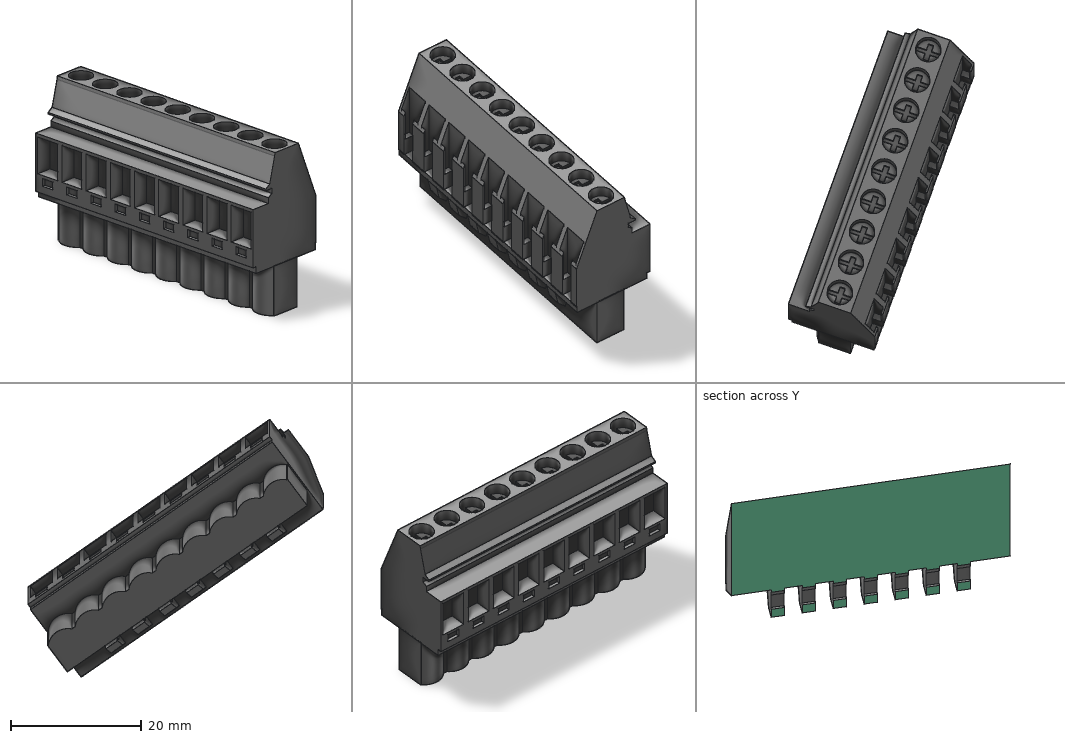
import cadquery as cq


length = 45.7
poles = 9
pitch = length / poles
pole_xs = [(i - (poles - 1) / 2) * pitch for i in range(poles)]

depth = 14.1
height = 27.1
underside_z = 8.35
step_z = 9.45
front_step = 0.65
back_step = 0.15
back_slope_z = 17.3
top_front_y = 4.9
top_back_y = 10.15
top_lip_height = 0.55
top_lip_run = 0.1
brow_y = 3.7
brow_z = 22.25
ridge_y = 2.85
ridge_z = 21.65
ridge_thickness = 0.27
groove_y = 4.15
groove_z = 20.57
shelf_back_y = 3.45
shelf_groove_z = 20.05
shelf_z = 19.1

plug_back_y = 10.05
plug_flat_y = 4.9
plug_bulge = 0.95
plug_width = 4.45
plug_bar_inset = 0.2

window_width = 4.15
window_bottom_z = 12.5
window_top_z = 18.55
window_depth = 2.75
test_width = 2.15
test_bottom_z = 10.7
test_top_z = 12.0
test_depth = 0.55

pocket_width = 4.15
pocket_front_y = 12.35
pocket_wall = 0.27
pocket_floor_z = window_bottom_z
back_slot_width = 2.2
back_slot_floor_z = step_z

latch_xs = pole_xs[1:-1]
latch_width = back_slot_width
latch_front_y = 11.4
latch_back_y = 13.5
latch_neck_y = 11.7
latch_neck_top_z = 7.5
latch_neck_bottom_z = 5.45
latch_heel_y = 12.75
latch_heel_z = 5.07
latch_tip_y = 11.4
latch_tip_z = 3.7
latch_nose_y = 11.0
latch_nose_z = 4.7

screw_diameter = 3.9
screw_y = 7.5
screw_sink = 1.85
screw_length = 2.3
drive_depth = 0.45
drive_slot_width = 0.6
drive_bar_length = 2.55
drive_bar_width = 0.82
screw_top_z = height - screw_sink
screw_bottom_z = screw_top_z - screw_length


def box(x, width, y_range, z_range):
    """Block centred on x, between two Y values and two Z values."""
    (y0, y1), (z0, z1) = y_range, z_range
    block = cq.Workplane("XY").box(width, y1 - y0, z1 - z0, centered=(True, False, False))
    return block.translate((x, y0, z0))


def extrude_profile(points, width, x=0):
    """Extrude a (Y, Z) outline along X, centred on x."""
    profile = cq.Workplane("YZ").polyline(points).close()
    return profile.extrude(width / 2, both=True).translate((x, 0, 0))


def shell():
    """Main block of the housing."""
    outline = [
        (front_step, underside_z),
        (front_step, step_z),
        (0, step_z),
        (0, shelf_z),
        (shelf_back_y, shelf_z),
        (shelf_back_y, shelf_groove_z),
        (groove_y, groove_z),
        (groove_y, ridge_z - ridge_thickness),
        (ridge_y, ridge_z - ridge_thickness),
        (ridge_y, ridge_z),
        (brow_y, brow_z),
        (top_front_y - top_lip_run, height - top_lip_height),
        (top_front_y, height),
        (top_back_y, height),
        (depth, back_slope_z),
        (depth, step_z),
        (depth - back_step, step_z),
        (depth - back_step, underside_z),
    ]
    return extrude_profile(outline, length)


def plug_bar():
    """Bar behind the rounded plug fronts, set in slightly from the housing ends."""
    return box(0, length - 2 * plug_bar_inset, (plug_flat_y, plug_back_y), (0, underside_z))


def plug_front(x):
    """Rounded front of one plug."""
    half = plug_width / 2
    outline = (
        cq.Workplane("XY")
        .moveTo(x - half, plug_back_y)
        .lineTo(x - half, plug_flat_y)
        .threePointArc((x, plug_flat_y - plug_bulge), (x + half, plug_flat_y))
        .lineTo(x + half, plug_back_y)
        .close()
    )
    return outline.extrude(underside_z)


def latch(x):
    """Hooked latch below the housing."""
    outline = [
        (latch_front_y, underside_z),
        (latch_neck_y, latch_neck_top_z),
        (latch_neck_y, latch_neck_bottom_z),
        (latch_nose_y, latch_nose_z),
        (latch_tip_y, latch_tip_z),
        (latch_heel_y, latch_heel_z),
        (latch_back_y, underside_z),
    ]
    return extrude_profile(outline, latch_width, x)


def screw_cylinder(x, top_z):
    """Cylinder on the screw axis, from the screw's lower end up to top_z."""
    base = cq.Workplane("XY", origin=(x, screw_y, screw_bottom_z))
    return base.circle(screw_diameter / 2).extrude(top_z - screw_bottom_z)


def pole_openings(x):
    """Everything cut out of the housing at one pole."""
    window = box(x, window_width, (0, window_depth), (window_bottom_z, window_top_z))
    test_slot = box(x, test_width, (0, test_depth), (test_bottom_z, test_top_z))
    pocket = box(x, pocket_width, (pocket_front_y, depth - pocket_wall), (pocket_floor_z, height))
    back_slot = box(x, back_slot_width, (pocket_front_y, depth), (back_slot_floor_z, height))
    screw_hole = screw_cylinder(x, height)
    return [window, test_slot, pocket, back_slot, screw_hole]


def make_housing():
    body = shell().union(plug_bar())
    for x in pole_xs:
        body = body.union(plug_front(x))
    for x in latch_xs:
        body = body.union(latch(x))
    for x in pole_xs:
        for opening in pole_openings(x):
            body = body.cut(opening)
    return body


def make_screw(x):
    """Screw with a full-width slot crossed by a shorter bar."""
    drive_z = (screw_top_z - drive_depth, screw_top_z)
    half_slot = screw_diameter / 2
    half_bar = drive_bar_width / 2
    slot = box(x, drive_slot_width, (screw_y - half_slot, screw_y + half_slot), drive_z)
    bar = box(x, drive_bar_length, (screw_y - half_bar, screw_y + half_bar), drive_z)
    return screw_cylinder(x, screw_top_z).cut(slot).cut(bar)


housing = make_housing()
screws = [make_screw(x) for x in pole_xs]

result = cq.Compound.makeCompound([housing.val(), *[screw.val() for screw in screws]])